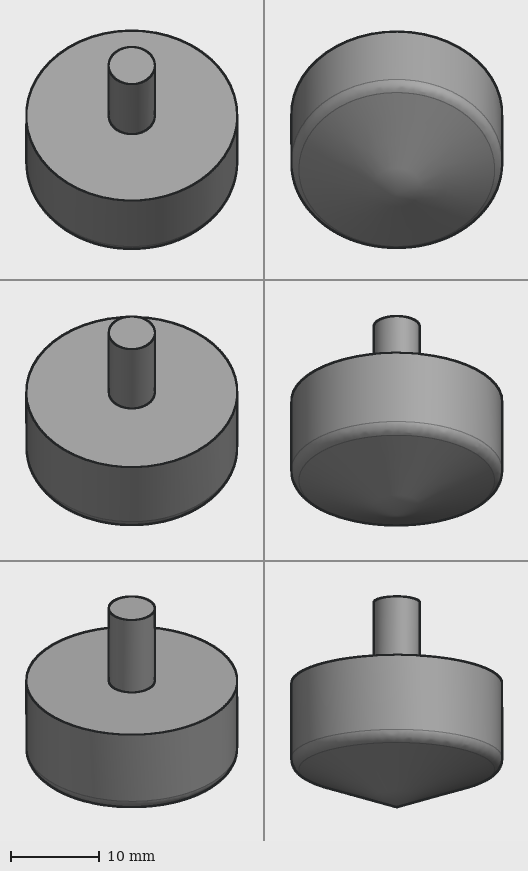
import cadquery as cq
import math

total_height = 24.0
body_diameter = 23.8
stem_diameter = 5.2
stem_length = 9.5
cone_slope_angle = 22.0
rim_radius = 1.4

body_radius = body_diameter / 2
stem_radius = stem_diameter / 2
body_top = total_height - stem_length
cone_height = body_radius * math.tan(math.radians(cone_slope_angle))


def make_body():
    """Cylinder with a conical underside and a rounded rim between them."""
    half_profile = (
        cq.Workplane("XZ")
        .polyline([(0, 0), (body_radius, cone_height), (body_radius, body_top), (0, body_top)])
        .close()
    )
    body = half_profile.revolve(360, (0, 0, 0), (0, 1, 0))
    return body.edges("%CIRCLE").edges("<Z").fillet(rim_radius)


def make_stem():
    """Plain round stem standing on the flat top of the body."""
    return cq.Workplane("XY").workplane(offset=body_top).circle(stem_radius).extrude(stem_length)


result = make_body().union(make_stem())